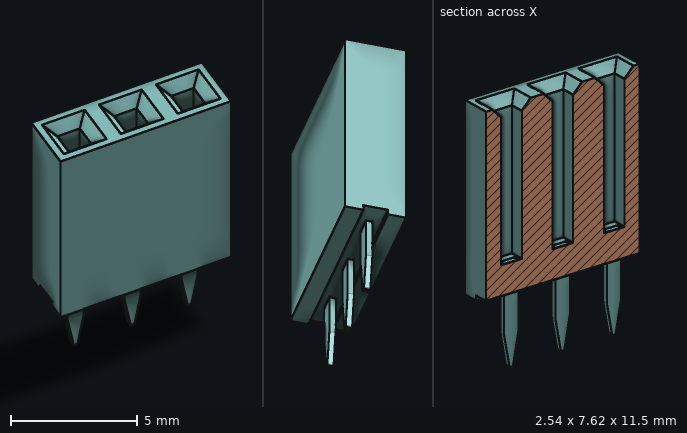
import cadquery as cq


total_height = 11.5
pitch = 2.54
pin_count = 3
row_length = pin_count * pitch
pin_positions = [(i - (pin_count - 1) / 2) * pitch for i in range(pin_count)]

housing_width = pitch
pin_exposed = 3.0
housing_height = total_height - pin_exposed
channel_width = 1.02
channel_depth = 0.23

mouth_size = 1.9
shaft_size = 1.0
funnel_depth = (mouth_size - shaft_size) / 2
socket_depth = 6.9
socket_floor = total_height - socket_depth

pin_thickness = 0.26
pin_width = 0.72
taper_length = 1.5
taper_end_width = 0.2
tip_width = 0.15
tip_length = 0.07


def make_pin(y):
    """Flat pin with a tapered, chamfered tip; its top is flush with the socket floor."""
    right_side = [
        (tip_width / 2, 0),
        (taper_end_width / 2, tip_length),
        (pin_width / 2, taper_length),
        (pin_width / 2, socket_floor),
    ]
    left_side = [(-across, z) for across, z in reversed(right_side)]
    return (
        cq.Workplane("YZ")
        .polyline(right_side + left_side)
        .close()
        .extrude(pin_thickness / 2, both=True)
        .translate((0, y, 0))
    )


def make_socket(y):
    """Cavity of one socket: the funnel and the square shaft below it."""
    funnel = (
        cq.Workplane("XY", origin=(0, y, total_height))
        .rect(mouth_size, mouth_size)
        .workplane(offset=-funnel_depth)
        .rect(shaft_size, shaft_size)
        .loft(ruled=True)
    )
    shaft = (
        cq.Workplane("XY", origin=(0, y, socket_floor))
        .rect(shaft_size, shaft_size)
        .extrude(socket_depth - funnel_depth)
    )
    return funnel.union(shaft)


def make_housing(pins):
    """Block with a channel along its underside, the sockets and a fitting slot for each pin."""
    base = cq.Workplane("XY", origin=(0, 0, pin_exposed))
    housing = base.rect(housing_width, row_length).extrude(housing_height)
    channel = base.rect(channel_width, row_length).extrude(channel_depth)
    housing = housing.cut(channel)
    for y, pin in zip(pin_positions, pins):
        housing = housing.cut(make_socket(y)).cut(pin)
    return housing


pins = [make_pin(y) for y in pin_positions]
housing = make_housing(pins)

result = cq.Compound.makeCompound([housing.solids().val(), *[pin.val() for pin in pins]])